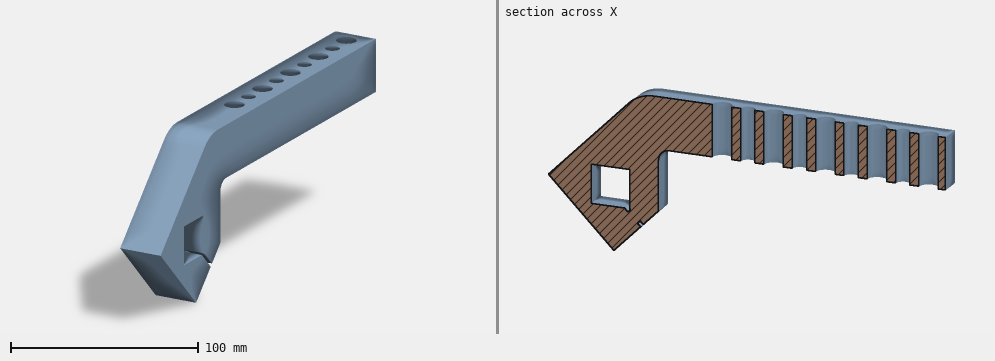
import cadquery as cq
import math

LENGTH = 231.0
WIDTH = 25.0
HEIGHT = 91.0

ARM_THICKNESS = 30.0
INNER_WALL_Y = -166.8
TIP_DROP = 53.0
BEND_RADIUS = 20.0
INNER_RADIUS = 6.0

LARGE_HOLE_DIAMETER = 11.0
SMALL_HOLE_DIAMETER = 8.0
HOLE_COUNT = 9
HOLE_PITCH = 15.0
FIRST_HOLE_OFFSET = 10.0

WINDOW_SIZE = 22.0
WINDOW_CORNER_Y = -184.0
WINDOW_BOTTOM_Z = -65.9

SLIT_WIDTH = 1.96
SLIT_LENGTH = 18.5
SLIT_OVERLAP = 2.3
PIN_DIAMETER = 8.0
PIN_DISTANCE = 4.9
PIN_EMBED = 1.2

DIAGONAL = math.sqrt(0.5)


def extrude_across_width(sketch):
    return sketch.extrude(WIDTH / 2, both=True)


def make_body():
    """Arm with a head whose outer faces all run at 45 degrees."""
    bend_y = TIP_DROP - LENGTH
    bottom_y = (HEIGHT - TIP_DROP) - LENGTH
    foot_z = (INNER_WALL_Y - bottom_y) - HEIGHT
    outline = cq.Workplane("YZ").polyline([
        (0, 0),
        (bend_y, 0),
        (-LENGTH, -TIP_DROP),
        (bottom_y, -HEIGHT),
        (INNER_WALL_Y, foot_z),
        (INNER_WALL_Y, -ARM_THICKNESS),
        (0, -ARM_THICKNESS),
    ]).close()
    body = extrude_across_width(outline)
    body = body.edges(cq.NearestToPointSelector((0, bend_y, 0))).fillet(BEND_RADIUS)
    inner_corner = (0, INNER_WALL_Y, -ARM_THICKNESS)
    return body.edges(cq.NearestToPointSelector(inner_corner)).fillet(INNER_RADIUS)


def make_arm_holes():
    holes = cq.Workplane("XY")
    for index in range(HOLE_COUNT):
        diameter = LARGE_HOLE_DIAMETER if index % 2 == 0 else SMALL_HOLE_DIAMETER
        center_y = -FIRST_HOLE_OFFSET - index * HOLE_PITCH
        hole = cq.Workplane("XY").center(0, center_y).circle(diameter / 2).extrude(-ARM_THICKNESS)
        holes = holes.add(hole)
    return holes.combine()


def make_window():
    center_y = WINDOW_CORNER_Y - WINDOW_SIZE / 2
    center_z = WINDOW_BOTTOM_Z + WINDOW_SIZE / 2
    return extrude_across_width(
        cq.Workplane("YZ").center(center_y, center_z).rect(WINDOW_SIZE, WINDOW_SIZE)
    )


slit_plane = cq.Plane(
    origin=(0, WINDOW_CORNER_Y, WINDOW_BOTTOM_Z),
    xDir=(0, DIAGONAL, -DIAGONAL),
    normal=(0, -DIAGONAL, -DIAGONAL),
)


def make_slit():
    """Slot that starts inside the window and runs out past the end face of the head."""
    center_x = (SLIT_LENGTH - SLIT_OVERLAP) / 2
    slit = cq.Workplane(slit_plane).center(center_x, 0)
    return slit.rect(SLIT_LENGTH + SLIT_OVERLAP, WIDTH).extrude(SLIT_WIDTH)


def make_pin():
    """Pin across the slit, its ends sunk into both walls."""
    return (
        cq.Workplane(slit_plane)
        .workplane(offset=-PIN_EMBED)
        .center(PIN_DISTANCE, 0)
        .circle(PIN_DIAMETER / 2)
        .extrude(SLIT_WIDTH + 2 * PIN_EMBED)
    )


body = make_body().cut(make_arm_holes()).cut(make_window()).cut(make_slit())
result = body.union(make_pin().cut(make_window()))